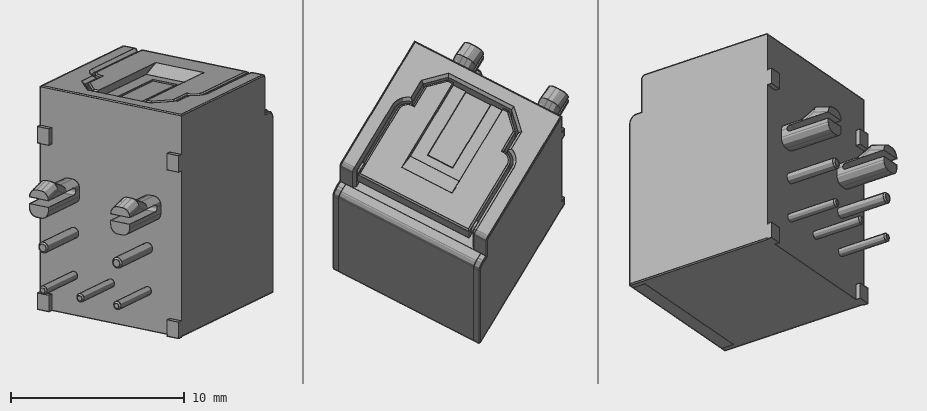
import cadquery as cq
import math


tolerance = 0.01
root = 0.14

width = 9.7
height = 13.5
depth = 9.7
step_depth = 0.84
step_height = 2.4
upper_depth = depth - step_depth
ledge_z = height - step_height
ledge_round = 0.5
back_round = 0.25
edge_chamfer = 0.07

foot_width = 0.8
foot_height = 1.0
foot_length = 0.3

opening_depth = step_height
door_thickness = 1.0
door_top = height - 0.05
door_gap = 0.16
door_half_width = 3.67
door_bottom = 1.16
door_bevel = 0.96
shoulder_radius = 0.7
door_tongue_half_width = door_half_width - shoulder_radius
shoulder_y = 4.18
door_chamfer_width = 0.11
door_chamfer_depth = 0.07
mouth_chamfer = 0.18

pocket_width = 3.31
pocket_depth = 0.43
pocket_top = 7.26
pocket_slope_length = 1.01
panel_width = 1.65
panel_top = 5.7
panel_depth = 0.1

hinge_diameter = 0.8
hinge_y = upper_depth - 0.6
hinge_z = height - 0.6
hinge_reach = 0.4

side_wall = 0.4
cover_width = width - 2 * side_wall
cover_round = 0.3

post_x = 2.8
post_z = 7.5
post_width = 1.3
post_height = 1.46
post_length = 3.3
post_corner = 0.5
barb_start = 1.3
barb_peak = 2.3
barb_rise = 0.5
barb_tip_rise = 0.2
slot_height = 0.4
slot_z = 7.72
slot_start = 0.4

pin_x = 2.54
large_pin_diameter = 0.65
large_pin_z = 5.0
small_pin_diameter = 0.5
small_pin_z = 2.4
pin_length = 3.3
pin_tip_chamfer = 0.1


def box(x0, x1, y0, y1, z0, z1):
    return cq.Workplane("XY").box(x1 - x0, y1 - y0, z1 - z0, centered=False).translate((x0, y0, z0))


def door_shape(clearance, bottom_z, thickness):
    """Stepped door shape grown by a clearance on all sides but the open back."""
    half = door_half_width + clearance
    tongue = door_tongue_half_width + clearance
    bottom = door_bottom - clearance
    bevel = door_bevel + clearance * (2 - math.sqrt(2))
    radius = shoulder_radius + clearance
    arc_x = door_tongue_half_width
    arc_end = shoulder_y - math.sqrt(radius**2 - clearance**2)
    mid_x = arc_x + radius * math.cos(math.pi / 4)
    mid_y = shoulder_y - radius * math.sin(math.pi / 4)
    return (
        cq.Workplane("XY", origin=(0, 0, bottom_z))
        .moveTo(-half, upper_depth)
        .lineTo(-half, shoulder_y)
        .threePointArc((-mid_x, mid_y), (-tongue, arc_end))
        .lineTo(-tongue, bottom + bevel)
        .lineTo(-tongue + bevel, bottom)
        .lineTo(tongue - bevel, bottom)
        .lineTo(tongue, bottom + bevel)
        .lineTo(tongue, arc_end)
        .threePointArc((mid_x, mid_y), (half, shoulder_y))
        .lineTo(half, upper_depth)
        .close()
        .extrude(thickness)
    )


def hinge_rod():
    length = 2 * (door_half_width + door_gap + hinge_reach)
    return (
        cq.Workplane("YZ", origin=(-length / 2, hinge_y, hinge_z))
        .circle(hinge_diameter / 2)
        .extrude(length)
    )


def edge_near(block, y, z):
    """Edge across the middle of the block nearest to a place in Y and Z."""
    return block.edges(cq.selectors.NearestToPointSelector((0, y, z)))


def make_block():
    block = (
        cq.Workplane("YZ", origin=(-width / 2, 0, 0))
        .polyline([
            (0, 0), (depth, 0), (depth, ledge_z),
            (upper_depth, ledge_z), (upper_depth, height), (0, height),
        ])
        .close()
        .extrude(width)
    )
    block = edge_near(block, depth, ledge_z).fillet(ledge_round)
    block = edge_near(block, upper_depth, height).fillet(back_round)
    block = block.faces("<X or >X").edges("not(<Y)").chamfer(edge_chamfer)
    return edge_near(block, 0, height).chamfer(edge_chamfer)


def make_feet():
    feet = cq.Workplane("XY")
    for x in (-width / 2, width / 2 - foot_width):
        for z in (0, ledge_z - foot_height):
            feet = feet.union(box(x, x + foot_width, -foot_length, 0, z, z + foot_height))
    return feet


def post_wire(x, y, rise):
    """Rounded outline of a post at a distance from the mounting face, its top raised by a rise."""
    outline = cq.Sketch().rect(post_width, post_height + rise).vertices().fillet(post_corner)
    plane = cq.Plane(origin=(x, -y, post_z + rise / 2), normal=(0, -1, 0), xDir=(1, 0, 0))
    return outline.reset().faces().val().outerWire().moved(plane.location)


def make_post(x):
    stations = [(-root, 0), (barb_start, 0), (barb_peak, barb_rise), (post_length, barb_tip_rise)]
    post = cq.Workplane("XY")
    for start, end in zip(stations, stations[1:]):
        sections = [post_wire(x, *station) for station in (start, end)]
        post = post.union(cq.Workplane(cq.Solid.makeLoft(sections, True)))
    slot = box(
        x - post_width / 2, x + post_width / 2,
        -post_length, -slot_start - slot_height / 2,
        slot_z - slot_height / 2, slot_z + slot_height / 2,
    )
    slot_end = (
        cq.Workplane("YZ", origin=(x - post_width / 2, -slot_start - slot_height / 2, slot_z))
        .circle(slot_height / 2)
        .extrude(post_width)
    )
    return post.cut(slot).cut(slot_end)


def make_pin(diameter, x, z):
    return (
        cq.Workplane("XZ", origin=(x, root, z))
        .circle(diameter / 2)
        .extrude(pin_length + root)
        .faces("<Y")
        .chamfer(pin_tip_chamfer)
    )


def rim_edges(block):
    """Edges of the opening on the top face, over the rounded back edge and down the back face."""
    reach = door_half_width + door_gap + tolerance
    top_rim = cq.selectors.BoxSelector(
        (-reach, edge_chamfer + tolerance, height - back_round), (reach, depth, height + tolerance))
    back_rim = cq.selectors.BoxSelector(
        (-reach, upper_depth - tolerance, ledge_z + tolerance), (reach, upper_depth + tolerance, height))
    return block.edges(top_rim + back_rim)


def make_housing():
    opening = door_shape(door_gap, height - opening_depth, opening_depth)
    housing = rim_edges(make_block().cut(opening)).chamfer(mouth_chamfer)
    housing = housing.cut(hinge_rod()).cut(cover_blank())
    housing = housing.union(make_feet())
    for side in (-1, 1):
        housing = housing.union(make_post(side * post_x))
        housing = housing.union(make_pin(large_pin_diameter, side * pin_x, large_pin_z))
    for x in (-pin_x, 0, pin_x):
        housing = housing.union(make_pin(small_pin_diameter, x, small_pin_z))
    return housing


def make_door():
    door = door_shape(0, door_top - door_thickness, door_thickness)
    door = door.faces(">Z").chamfer(door_chamfer_depth, door_chamfer_width)
    pocket_z = door_top - pocket_depth
    pocket = (
        cq.Workplane("YZ", origin=(-pocket_width / 2, 0, 0))
        .polyline([
            (0, door_top), (pocket_top, door_top),
            (pocket_top - pocket_slope_length, pocket_z), (0, pocket_z),
        ])
        .close()
        .extrude(pocket_width)
    )
    panel_z = pocket_z - panel_depth
    panel = box(-panel_width / 2, panel_width / 2, 0, panel_top, panel_z, door_top)
    return door.cut(pocket).cut(panel).union(hinge_rod())


def cover_blank():
    return box(-cover_width / 2, cover_width / 2, upper_depth, depth, 0, ledge_z)


def make_cover():
    return cover_blank().edges(">Y and >Z").fillet(cover_round)


housing = make_housing()
door = make_door()
cover = make_cover()
result = cq.Compound.makeCompound([housing.val(), door.val(), cover.val()])